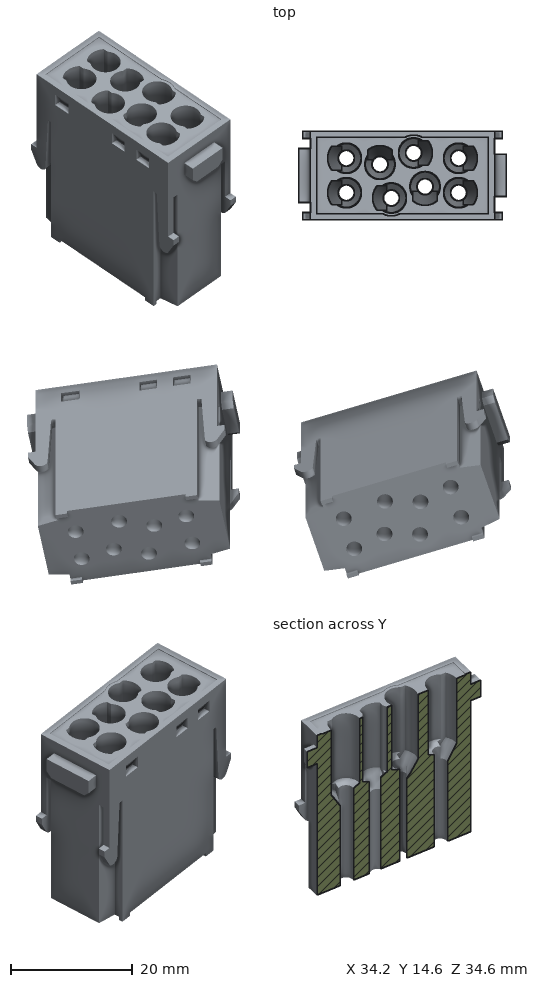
import cadquery as cq

HEIGHT = 34.6
FOOT_HEIGHT = 0.7
BODY_X = 30.3
BODY_Y = 14.6
HALF_X = BODY_X / 2
HALF_Y = BODY_Y / 2

RECESS_X = 28.15
RECESS_Y = 12.53
RECESS_DEPTH = 0.15
RELIEF_RADIUS = 2.95

CUT_TOP = 25.95
CUT_FLOOR_X = 11.8
CUT_FLOOR_Y = 5.67
CUT_EDGE_Y = 5.1

ARM_WIDTH = 1.25
ARM_ROOT_X = 12.55
ARM_TIP_X = 13.15
ARM_TIP_MID_X = 14.25
ARM_TIP_TOP = 14.6
ARM_BOTTOM = 13.85
ARM_ROOT_RADIUS = 0.28
HOOK_X = 16.4
HOOK_TOP = 17.95
HOOK_EDGE = 16.7
HOOK_END_X = 15.3

FOOT_X = 1.95
FOOT_Y = 0.73

LUG_REACH = 1.95
LUG_TOP = 32.0
LUG_HEIGHT = 3.55
LUG_CHAMFER = 0.97
LEFT_LUG_WIDTH = 8.93
RIGHT_LUG_WIDTH = 7.0

CHAMBER_DIAMETER = 4.98
CONE_DIAMETER = 4.85
THROUGH_DIAMETER = 2.6
CONE_TOP = 20.75
CONE_HEIGHT = 0.55
KEYWAY_RADIUS = 3.08
KEYWAY_WIDTH = 3.98
KEYWAY_START = 0.75
KEYWAY_CONE_HEIGHT = 3.1
OUTER_X = 9.25
OUTER_Y = 2.85
CENTRE_NEAR = 1.85
CENTRE_FAR = 3.7

CHAMBERS = [
    (-OUTER_X, OUTER_Y, 180),
    (-OUTER_X, -OUTER_Y, 180),
    (OUTER_X, OUTER_Y, 0),
    (OUTER_X, -OUTER_Y, 0),
    (-CENTRE_FAR, CENTRE_NEAR, 90),
    (CENTRE_FAR, -CENTRE_NEAR, -90),
    (CENTRE_NEAR, CENTRE_FAR, 0),
    (-CENTRE_NEAR, -CENTRE_FAR, 180),
]

WINDOW_TOP = 32.75
WINDOW_BOTTOM = 30.48
WALL = (BODY_Y - RECESS_Y) / 2
NOSE_WIDTH = 2.63
NOSE_TOP = 32.5
NOSE_LIP = 32.2
NOSE_BEND = 31.95
NOSE_BOTTOM = 30.75
NOSE_REACH = 0.62
BEND_REACH = 0.55
WINDOWS = [(-10.85, -7.82, -9.27), (2.2, 5.15, 3.685), (7.82, 10.75, 9.29)]


def block(x0, x1, y0, y1, z0, z1):
    """Box given by its limits along each axis."""
    return cq.Workplane("XY").box(x1 - x0, y1 - y0, z1 - z0, centered=False).translate((x0, y0, z0))


def at_four_corners(corner):
    """Mirror a corner shape into all four corners."""
    pair = corner.union(corner.mirror("YZ"))
    return pair.union(pair.mirror("XZ"))


def corner_cut():
    """Space around one latch arm, with a slanted inner wall, at +X +Y."""
    margin = 0.35
    outline = [
        (CUT_FLOOR_X, HALF_Y + margin),
        (CUT_FLOOR_X, CUT_FLOOR_Y),
        (HALF_X, CUT_EDGE_Y),
        (HALF_X + margin, CUT_EDGE_Y),
        (HALF_X + margin, HALF_Y + margin),
    ]
    return cq.Workplane("XY").polyline(outline).close().extrude(CUT_TOP)


def latch_arm():
    """Tapered hanging arm with an outward hook and a rounded tip, at +X +Y."""
    r = ARM_ROOT_RADIUS
    return (
        cq.Workplane("XZ", origin=(0, HALF_Y, 0))
        .moveTo(ARM_ROOT_X, CUT_TOP)
        .lineTo(HALF_X, CUT_TOP)
        .lineTo(HALF_X, HOOK_TOP)
        .lineTo(HOOK_X, HOOK_TOP)
        .lineTo(HOOK_X, HOOK_EDGE)
        .lineTo(HOOK_END_X, ARM_TIP_TOP)
        .threePointArc((ARM_TIP_MID_X, ARM_BOTTOM), (ARM_TIP_X, ARM_TIP_TOP))
        .lineTo(ARM_ROOT_X, CUT_TOP - r)
        .radiusArc((ARM_ROOT_X - r, CUT_TOP), -r)
        .close()
        .extrude(ARM_WIDTH)
    )


def lug(width):
    """Coding lug with chamfered lower corners, standing out along +X."""
    half = width / 2
    bottom = LUG_TOP - LUG_HEIGHT
    outline = [
        (-half, LUG_TOP),
        (half, LUG_TOP),
        (half, bottom + LUG_CHAMFER),
        (half - LUG_CHAMFER, bottom),
        (-half + LUG_CHAMFER, bottom),
        (-half, bottom + LUG_CHAMFER),
    ]
    return cq.Workplane("YZ", origin=(HALF_X, 0, 0)).polyline(outline).close().extrude(LUG_REACH)


def funnel(radius, cone_radius, cone_height):
    """Round bore down to CONE_TOP, then a cone down to the through hole."""
    neck = THROUGH_DIAMETER / 2
    cone_end = CONE_TOP - cone_height
    bore = cq.Workplane("XY", origin=(0, 0, CONE_TOP)).circle(radius).extrude(HEIGHT - CONE_TOP)
    profile = [(0, CONE_TOP), (cone_radius, CONE_TOP), (neck, cone_end), (0, cone_end)]
    cone = cq.Workplane("XZ").polyline(profile).close().revolve(360, (0, 0, 0), (0, 1, 0))
    return bore.union(cone)


def chamber():
    """Contact chamber with its keyway towards +X."""
    half_width = KEYWAY_WIDTH / 2
    keyway_limits = block(KEYWAY_START, KEYWAY_RADIUS, -half_width, half_width, 0, HEIGHT)
    keyway = funnel(KEYWAY_RADIUS, KEYWAY_RADIUS, KEYWAY_CONE_HEIGHT).intersect(keyway_limits)
    through = cq.Workplane("XY").circle(THROUGH_DIAMETER / 2).extrude(HEIGHT)
    bore = funnel(CHAMBER_DIAMETER / 2, CONE_DIAMETER / 2, CONE_HEIGHT)
    return bore.union(keyway).union(through)


def top_recess():
    """Rectangular recess, widened by round reliefs at the two chambers nearest its edge."""
    floor = HEIGHT - RECESS_DEPTH
    recess = block(-RECESS_X / 2, RECESS_X / 2, -RECESS_Y / 2, RECESS_Y / 2, floor, HEIGHT)
    for side in (1, -1):
        relief = cq.Workplane("XY", origin=(side * CENTRE_NEAR, side * CENTRE_FAR, floor))
        recess = recess.union(relief.circle(RELIEF_RADIUS).extrude(RECESS_DEPTH))
    return recess


def window(left, right, nose_centre):
    """Opening through the front wall, less the snap nose that slopes out of its back."""
    wall_back = -HALF_Y + WALL
    opening = block(left, right, -HALF_Y, wall_back, WINDOW_BOTTOM, WINDOW_TOP)
    profile = [
        (wall_back, NOSE_TOP),
        (wall_back - NOSE_REACH, NOSE_TOP),
        (wall_back - NOSE_REACH, NOSE_LIP),
        (wall_back - BEND_REACH, NOSE_BEND),
        (wall_back, NOSE_BOTTOM),
    ]
    nose_start = (nose_centre - NOSE_WIDTH / 2, 0, 0)
    nose = cq.Workplane("YZ", origin=nose_start).polyline(profile).close().extrude(NOSE_WIDTH)
    return opening.cut(nose)


result = block(-HALF_X, HALF_X, -HALF_Y, HALF_Y, FOOT_HEIGHT, HEIGHT)
result = result.cut(at_four_corners(corner_cut()))
result = result.union(at_four_corners(latch_arm()))

foot = block(CUT_FLOOR_X - FOOT_X, CUT_FLOOR_X, HALF_Y - FOOT_Y, HALF_Y, 0, FOOT_HEIGHT)
result = result.union(at_four_corners(foot))

result = result.union(lug(RIGHT_LUG_WIDTH))
result = result.union(lug(LEFT_LUG_WIDTH).mirror("YZ"))

result = result.cut(top_recess())
for x, y, keyway_angle in CHAMBERS:
    result = result.cut(chamber().rotate((0, 0, 0), (0, 0, 1), keyway_angle).translate((x, y, 0)))

for left, right, nose_centre in WINDOWS:
    result = result.cut(window(left, right, nose_centre))